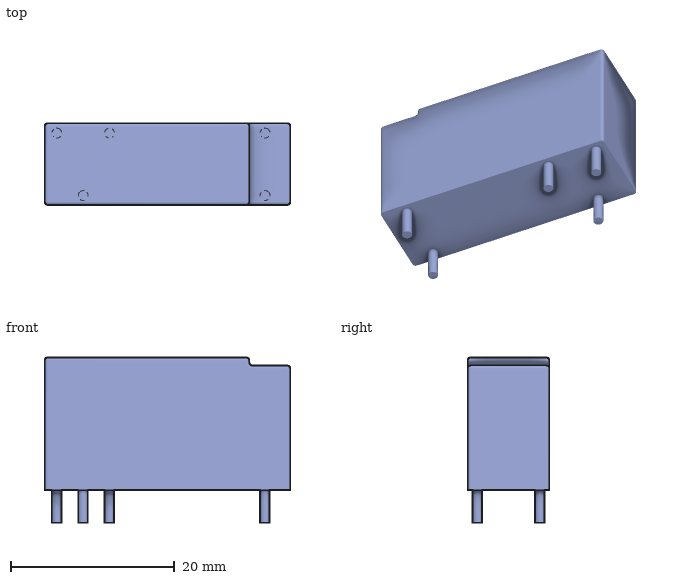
import cadquery as cq

length = 30.0
width = 10.0
body_height = 16.2
step_x = 25.0
step_drop = 1.0
edge_radius = 0.4
step_root_radius = 0.42

pin_diameter = 1.2
pin_length = 4.0
pin_embed = 0.3
row_offset = 3.8
first_pin_x = 1.47
contact_pitch = 3.2
coil_pin_x = 26.88


def make_housing():
    low_height = body_height - step_drop
    profile = [
        (0, 0),
        (length, 0),
        (length, low_height),
        (step_x, low_height),
        (step_x, body_height),
        (0, body_height),
    ]
    housing = cq.Workplane("XZ").polyline(profile).close().extrude(width / 2, both=True)

    def cross_edge(x, z):
        """Edge running across the width through the profile corner (x, z)."""
        return cq.selectors.NearestToPointSelector((x, 0, z))

    housing = housing.edges("|Y").edges(cross_edge(step_x, low_height)).fillet(step_root_radius)

    rounded = housing.faces("<Y or >Y").edges("not <Z")
    for corner in [(0, body_height), (step_x, body_height), (length, low_height)]:
        rounded = rounded.add(housing.edges("|Y").edges(cross_edge(*corner)))
    return rounded.fillet(edge_radius)


def make_pins():
    back = row_offset
    front = -row_offset
    places = [
        (first_pin_x, back),
        (first_pin_x + contact_pitch, front),
        (first_pin_x + 2 * contact_pitch, back),
        (coil_pin_x, front),
        (coil_pin_x, back),
    ]
    base = cq.Workplane("XY").workplane(offset=-pin_length)
    return base.pushPoints(places).circle(pin_diameter / 2).extrude(pin_length + pin_embed)


result = make_housing().union(make_pins())